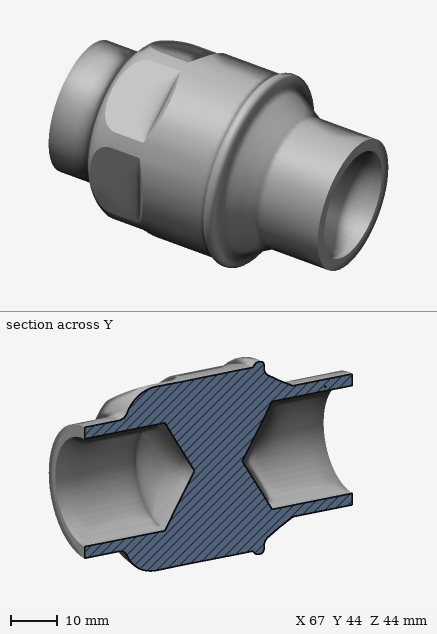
import cadquery as cq
import math

length = 67.0
pipe_radius = 15.0
bore_radius = 12.25
bore_depth = 20.1
drill_point_angle = 118.0
body_radius = 21.05

shoulder_end = 17.95
shoulder_round = 8.05
pipe_fillet = 2.0

collar_radius = 44.0 / 2
collar_round_start = 43.4
collar_round_end = 43.9
collar_round = 1.1

taper_angle = math.radians(30)
taper_fillet = 2.0
taper_end = 52.5

flat_count = 6
flat_distance = 19.0
flat_end = 25.0


def arc_point(center, radius, angle):
    """Point on a circle in the (axial, radial) half plane, angle in radians."""
    return (center[0] + radius * math.cos(angle), center[1] + radius * math.sin(angle))


def make_body():
    shoulder_center = (shoulder_end, body_radius - shoulder_round)
    center_rise = pipe_radius + pipe_fillet - shoulder_center[1]
    tangent_angle = math.pi - math.asin(center_rise / (shoulder_round + pipe_fillet))
    shoulder_start = arc_point(shoulder_center, shoulder_round, tangent_angle)
    pipe_fillet_center = arc_point(shoulder_center, shoulder_round + pipe_fillet, tangent_angle)
    pipe_fillet_middle_angle = (tangent_angle - math.pi - math.pi / 2) / 2
    pipe_fillet_middle = arc_point(pipe_fillet_center, pipe_fillet, pipe_fillet_middle_angle)
    shoulder_middle = arc_point(shoulder_center, shoulder_round, (tangent_angle + math.pi / 2) / 2)

    left_center = (collar_round_start, collar_radius - collar_round)
    bevel_end = arc_point(left_center, collar_round, math.radians(135))
    bevel_start = bevel_end[0] - (bevel_end[1] - body_radius)
    right_center = (collar_round_end, collar_radius - collar_round)
    collar_end = collar_round_end + collar_round

    normal_angle = math.pi / 2 - taper_angle
    lower_center = (taper_end, pipe_radius + taper_fillet)
    lower_start = arc_point(lower_center, taper_fillet, normal_angle + math.pi)
    lower_middle = arc_point(lower_center, taper_fillet, -math.pi / 2 - taper_angle / 2)
    upper_x = collar_end + taper_fillet * (1 - math.cos(normal_angle))
    upper_radius = lower_start[1] + (lower_start[0] - upper_x) * math.tan(taper_angle)
    upper_center = (collar_end + taper_fillet, upper_radius + taper_fillet * math.sin(normal_angle))
    upper_middle = arc_point(upper_center, taper_fillet, math.pi + normal_angle / 2)

    profile = (
        cq.Workplane("XY")
        .lineTo(0, pipe_radius)
        .lineTo(pipe_fillet_center[0], pipe_radius)
        .threePointArc(pipe_fillet_middle, shoulder_start)
        .threePointArc(shoulder_middle, (shoulder_end, body_radius))
        .lineTo(bevel_start, body_radius)
        .lineTo(*bevel_end)
        .threePointArc(
            arc_point(left_center, collar_round, math.radians(112.5)),
            (collar_round_start, collar_radius),
        )
        .lineTo(collar_round_end, collar_radius)
        .threePointArc(
            arc_point(right_center, collar_round, math.radians(45)),
            (collar_end, right_center[1]),
        )
        .lineTo(collar_end, upper_center[1])
        .threePointArc(upper_middle, (upper_x, upper_radius))
        .lineTo(*lower_start)
        .threePointArc(lower_middle, (taper_end, pipe_radius))
        .lineTo(length, pipe_radius)
        .lineTo(length, 0)
        .close()
    )
    return profile.revolve(360, (0, 0, 0), (1, 0, 0))


def make_flat_cutter():
    depth = 2 * (body_radius - flat_distance)
    return (
        cq.Workplane("XY")
        .polyline([
            (0, flat_distance),
            (flat_end, flat_distance),
            (flat_end + depth, flat_distance + depth),
            (0, flat_distance + depth),
        ])
        .close()
        .extrude(body_radius, both=True)
    )


def make_bore():
    point_depth = bore_radius / math.tan(math.radians(drill_point_angle / 2))
    return (
        cq.Workplane("XY")
        .polyline([
            (0, 0),
            (0, bore_radius),
            (bore_depth, bore_radius),
            (bore_depth + point_depth, 0),
        ])
        .close()
        .revolve(360, (0, 0, 0), (1, 0, 0))
    )


result = make_body()

flat_cutter = make_flat_cutter()
for index in range(flat_count):
    result = result.cut(flat_cutter.rotate((0, 0, 0), (1, 0, 0), index * 360 / flat_count))

bore = make_bore()
result = result.cut(bore)
result = result.cut(bore.mirror("YZ").translate((length, 0, 0)))